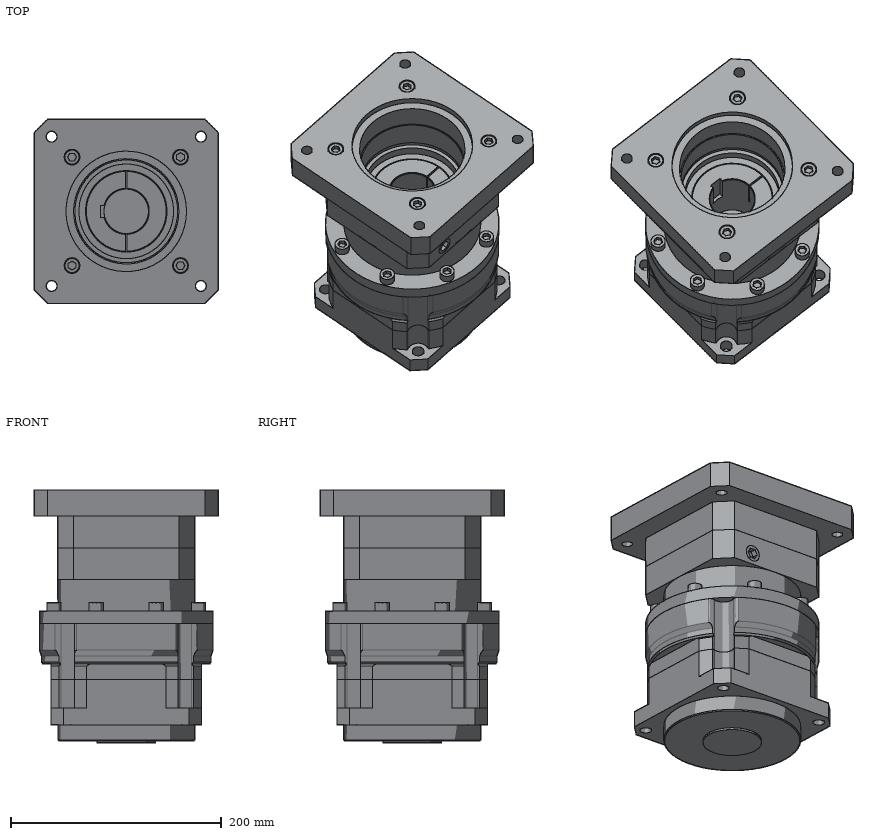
import cadquery as cq
import math

PILOT_BOTTOM_Z = 2.0
FOOT_BOTTOM_Z = 17.0
FOOT_TOP_Z = 33.0
OUTPUT_TOP_Z = 60.0
NECK_BOTTOM_Z = 73.0
NECK_Z = 75.0
BAND_BOTTOM_Z = 76.8
BAND_TOP_Z = 82.3
SHOULDER_Z = 87.8
GEAR_TOP_Z = 113.0
FLANGE_TOP_Z = 125.0
BLOCK_BOTTOM_Z = 155.0
BLOCK_TOP_Z = 185.0
SPACER_TOP_Z = 215.0
TOTAL_HEIGHT = 240.0

CORNER_ANGLES = (45, 135, 225, 315)

PLATE_SIDE = 175.0
PLATE_CORNER = 13.0
PLATE_HOLE_DIAMETER = 10.0
PLATE_HOLE_OFFSET = 70.8
MOTOR_PILOT_RADIUS = 57.0
MOTOR_PILOT_DEPTH = 6.2
PLATE_BORE_RADIUS = 50.0
SPIGOT_RADIUS = 52.8
SPIGOT_HEIGHT = 4.0

HEAD_RADIUS = 6.7
HEAD_HEIGHT = 8.0
HEAD_RECESS = 0.5
SOCKET_FLATS = 7.2
SOCKET_DEPTH = 4.0
COUNTERBORE_RADIUS = 7.5
PLATE_SCREW_CIRCLE_RADIUS = 72.7
PLATE_SOCKET_TURN = 45
FLANGE_SCREW_COUNT = 8
FLANGE_SCREW_CIRCLE_RADIUS = 74.2
FLANGE_SOCKET_TURN = 30

BLOCK_SIDE = 130.0
BLOCK_CORNER = 15.0
SPACER_BORE_RADIUS = 48.7
SEAT_Z = 181.7
HUB_CAVITY_RADIUS = 45.0

HUB_TOP_Z = 173.0
HUB_RADIUS = 38.6
HUB_BORE_RADIUS = 21.0
HUB_CHAMFER = 0.7
SLIT_WIDTH = 1.5
SLIT_DEPTH = 30.0
KEYWAY_WIDTH = 11.5
KEYWAY_REACH = 24.2

PLUG_RADIUS = 8.0
PLUG_LENGTH = 14.0
PLUG_Y = 27.8
PLUG_Z = 166.5
PLUG_SOCKET_FLATS = 9.4
PLUG_SOCKET_DEPTH = 6.0
PLUG_CONE_DEPTH = 2.6

CASE_RADIUS = 82.3
BAND_RADIUS = 80.6
NECK_RADIUS = 79.2
FOOT_SIDE = 142.8
FOOT_CORNER = 12.0
FOOT_HOLE_DIAMETER = 11.0
FOOT_HOLE_OFFSET = 58.3
CHANNEL_RADIUS = 10.0
CHANNEL_EDGE_ROUND = 4.8
OUTPUT_PILOT_RADIUS = BLOCK_SIDE / 2
OUTPUT_PILOT_CHAMFER = 1.0

SHAFT_RADIUS = 27.8


def cylinder(radius, bottom, top):
    return cq.Workplane("XY").workplane(offset=bottom).circle(radius).extrude(top - bottom)


def square_block(side, bottom, top):
    return cq.Workplane("XY").workplane(offset=bottom).rect(side, side).extrude(top - bottom)


def square_corners(offset):
    return [(x, y) for x in (-offset, offset) for y in (-offset, offset)]


def on_circle(body, circle_radius, angle):
    """Move a body out from the gearbox axis and turn it around the axis by an angle in degrees."""
    return body.translate((circle_radius, 0, 0)).rotate((0, 0, 0), (0, 0, 1), angle)


def hex_circle_diameter(flats):
    """Diameter across the corners of a hexagon with the given width across flats."""
    return flats / math.cos(math.pi / 6)


def screw_head(circle_radius, angle, socket_turn, bottom):
    """Head on a bolt circle; socket_turn is the angle from the radial line to a socket corner."""
    head = cylinder(HEAD_RADIUS, bottom, bottom + HEAD_HEIGHT)
    socket_outline = head.faces(">Z").workplane().transformed(rotate=(0, 0, socket_turn))
    head = socket_outline.polygon(6, hex_circle_diameter(SOCKET_FLATS)).cutBlind(-SOCKET_DEPTH)
    return on_circle(head, circle_radius, angle)


def make_motor_plate():
    plate = square_block(PLATE_SIDE, SPACER_TOP_Z, TOTAL_HEIGHT).edges("|Z").chamfer(PLATE_CORNER)
    plate = plate.union(cylinder(SPIGOT_RADIUS, SPACER_TOP_Z - SPIGOT_HEIGHT, SPACER_TOP_Z))
    plate = plate.cut(cylinder(PLATE_BORE_RADIUS, SPACER_TOP_Z - SPIGOT_HEIGHT, TOTAL_HEIGHT))
    plate = plate.cut(cylinder(MOTOR_PILOT_RADIUS, TOTAL_HEIGHT - MOTOR_PILOT_DEPTH, TOTAL_HEIGHT))
    plate = (
        plate.faces(">Z").workplane(origin=(0, 0, TOTAL_HEIGHT))
        .pushPoints(square_corners(PLATE_HOLE_OFFSET)).hole(PLATE_HOLE_DIAMETER)
    )
    head_bottom = TOTAL_HEIGHT - HEAD_RECESS - HEAD_HEIGHT
    counterbore = cylinder(COUNTERBORE_RADIUS, head_bottom, TOTAL_HEIGHT)
    for angle in CORNER_ANGLES:
        plate = plate.cut(on_circle(counterbore, PLATE_SCREW_CIRCLE_RADIUS, angle))
        plate = plate.union(screw_head(PLATE_SCREW_CIRCLE_RADIUS, angle, PLATE_SOCKET_TURN, head_bottom))
    return plate


def make_spacer():
    spacer = square_block(BLOCK_SIDE, BLOCK_TOP_Z, SPACER_TOP_Z).edges("|Z").chamfer(BLOCK_CORNER)
    spacer = spacer.cut(cylinder(SPACER_BORE_RADIUS, BLOCK_TOP_Z, SPACER_TOP_Z))
    return spacer.cut(cylinder(SPIGOT_RADIUS, SPACER_TOP_Z - SPIGOT_HEIGHT, SPACER_TOP_Z))


def plug_plane(depth):
    """Workplane across the plug axis at a depth below the -X face of the block."""
    return cq.Workplane("YZ", origin=(depth - BLOCK_SIDE / 2, PLUG_Y, PLUG_Z))


def plug_blank():
    return plug_plane(0).circle(PLUG_RADIUS).extrude(PLUG_LENGTH)


def make_plug():
    """Flush plug with a hexagon socket that ends in a cone."""
    socket = plug_plane(0).polygon(6, hex_circle_diameter(PLUG_SOCKET_FLATS)).extrude(PLUG_SOCKET_DEPTH)
    cone_base = plug_plane(PLUG_SOCKET_DEPTH).plane
    cone = cq.Solid.makeCone(
        PLUG_SOCKET_FLATS / 2, 0, PLUG_CONE_DEPTH, cone_base.origin, cone_base.zDir
    )
    return plug_blank().cut(socket).cut(cq.Workplane(cone))


def make_input_housing():
    housing = square_block(BLOCK_SIDE, BLOCK_BOTTOM_Z, BLOCK_TOP_Z).edges("|Z").chamfer(BLOCK_CORNER)
    housing = housing.union(cylinder(BLOCK_SIDE / 2, GEAR_TOP_Z, BLOCK_BOTTOM_Z))
    housing = housing.union(cylinder(CASE_RADIUS, GEAR_TOP_Z, FLANGE_TOP_Z))
    for i in range(FLANGE_SCREW_COUNT):
        angle = 360 * (i + 0.5) / FLANGE_SCREW_COUNT
        head = screw_head(FLANGE_SCREW_CIRCLE_RADIUS, angle, FLANGE_SOCKET_TURN, FLANGE_TOP_Z)
        housing = housing.union(head)
    housing = housing.cut(cylinder(SPACER_BORE_RADIUS, SEAT_Z, BLOCK_TOP_Z))
    housing = housing.cut(cylinder(HUB_CAVITY_RADIUS, HUB_TOP_Z, SEAT_Z))
    housing = housing.cut(cylinder(HUB_RADIUS, GEAR_TOP_Z, HUB_TOP_Z))
    return housing.cut(plug_blank())


def make_clamping_hub():
    """Ring whose upper part is slit on the +Y and -Y sides and has a keyway on the -X side."""
    hub = cylinder(HUB_RADIUS, GEAR_TOP_Z, HUB_TOP_Z).cut(cylinder(HUB_BORE_RADIUS, GEAR_TOP_Z, HUB_TOP_Z))
    hub = hub.faces(">Z").edges().chamfer(HUB_CHAMFER)
    middle_z = HUB_TOP_Z - SLIT_DEPTH / 2
    slit = cq.Workplane("XY").box(SLIT_WIDTH, 2 * HUB_RADIUS, SLIT_DEPTH).translate((0, 0, middle_z))
    keyway = cq.Workplane("XY").box(KEYWAY_REACH, KEYWAY_WIDTH, SLIT_DEPTH)
    return hub.cut(slit).cut(keyway.translate((-KEYWAY_REACH / 2, 0, middle_z)))


def channelled_case(bottom, top):
    """Round case with four round-edged screw channels, one above each foot hole.

    Each cylinder is turned so that its seam ends up inside a channel, which leaves the
    channel edges as the only upright edges to round.
    """
    case = on_circle(cylinder(CASE_RADIUS, bottom, top), 0, CORNER_ANGLES[0])
    channel = cylinder(CHANNEL_RADIUS, bottom, top)
    for angle in CORNER_ANGLES:
        case = case.cut(on_circle(channel, math.sqrt(2) * FOOT_HOLE_OFFSET, angle))
    return case.edges("|Z").fillet(CHANNEL_EDGE_ROUND)


def make_gear_housing():
    turned_profile = [
        (0, OUTPUT_TOP_Z),
        (BAND_RADIUS, OUTPUT_TOP_Z),
        (BAND_RADIUS, NECK_BOTTOM_Z),
        (NECK_RADIUS, NECK_Z),
        (BAND_RADIUS, BAND_BOTTOM_Z),
        (BAND_RADIUS, BAND_TOP_Z),
        (CASE_RADIUS, SHOULDER_Z),
        (CASE_RADIUS, GEAR_TOP_Z),
        (0, GEAR_TOP_Z),
    ]
    turned = cq.Workplane("XZ").polyline(turned_profile).close().revolve(360, (0, 0, 0), (0, 1, 0))
    envelope = square_block(FOOT_SIDE, OUTPUT_TOP_Z, NECK_Z).union(
        square_block(2 * CASE_RADIUS, NECK_Z, GEAR_TOP_Z)
    )
    return channelled_case(OUTPUT_TOP_Z, GEAR_TOP_Z).intersect(turned).intersect(envelope)


def make_output_housing():
    foot = square_block(FOOT_SIDE, FOOT_BOTTOM_Z, FOOT_TOP_Z).edges("|Z").chamfer(FOOT_CORNER)
    foot = (
        foot.faces(">Z").workplane(origin=(0, 0, FOOT_TOP_Z))
        .pushPoints(square_corners(FOOT_HOLE_OFFSET)).hole(FOOT_HOLE_DIAMETER)
    )
    body = channelled_case(FOOT_TOP_Z, OUTPUT_TOP_Z)
    body = body.intersect(cylinder(BAND_RADIUS, FOOT_TOP_Z, OUTPUT_TOP_Z))
    body = body.intersect(square_block(FOOT_SIDE, FOOT_TOP_Z, OUTPUT_TOP_Z))
    pilot = cylinder(OUTPUT_PILOT_RADIUS, PILOT_BOTTOM_Z, FOOT_BOTTOM_Z)
    pilot = pilot.faces("<Z").chamfer(OUTPUT_PILOT_CHAMFER)
    return foot.union(body).union(pilot).cut(cylinder(SHAFT_RADIUS, 0, OUTPUT_TOP_Z))


def make_output_shaft():
    return cylinder(SHAFT_RADIUS, 0, OUTPUT_TOP_Z)


motor_plate = make_motor_plate()
spacer = make_spacer()
input_housing = make_input_housing()
clamping_hub = make_clamping_hub()
access_plug = make_plug()
gear_housing = make_gear_housing()
output_housing = make_output_housing()
output_shaft = make_output_shaft()

result = cq.Compound.makeCompound([
    motor_plate.val(),
    spacer.val(),
    input_housing.val(),
    clamping_hub.val(),
    access_plug.val(),
    gear_housing.val(),
    output_housing.val(),
    output_shaft.val(),
])